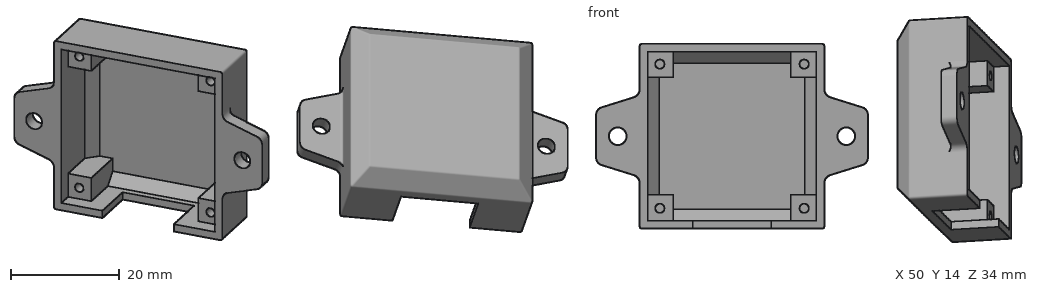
import cadquery as cq
import math


body_size = 34.0
body_depth = 14.0
wall = 1.5
back_chamfer = 3.0
edge_radius = 0.5

cavity_size = body_size - 2 * wall
cavity_depth = body_depth - wall
cavity_chamfer = back_chamfer - wall * (2 - math.sqrt(2))

post_size = 4.7
post_recess = 3.0
post_hole_spacing = 26.5
post_hole_diameter = 1.7
post_hole_depth = 6.0

notch_width = 14.4
notch_depth = 9.0

ear_span = 50.0
ear_thickness = 3.0
ear_tip_half_height = 5.0
ear_root_half_height = 7.5
ear_corner_radius = 1.5
ear_hole_spacing = 42.0
ear_hole_diameter = 3.2


def block(width, depth, height):
    """Box centred in X and Z that runs from Y = 0 towards +Y."""
    return cq.Workplane("XY").box(width, depth, height, centered=(True, False, True))


def cylinders(points, diameter, depth):
    """Round bars that run from Y = 0 towards +Y at the given X, Z points."""
    return cq.Workplane("XZ").pushPoints(points).circle(diameter / 2).extrude(-depth)


def make_shell():
    """Square housing with a bevelled back and lightly rounded outer edges."""
    shell = block(body_size, body_depth, body_size)
    shell = shell.faces(">Y").edges().chamfer(back_chamfer)
    outer_edges = cq.selectors.StringSyntaxSelector("not(<Y)")
    return shell.edges(outer_edges).fillet(edge_radius)


def make_posts():
    """Four square posts in the cavity corners, set back from the open face."""
    post_spacing = cavity_size - post_size
    return (
        cq.Workplane("XZ", origin=(0, post_recess, 0))
        .rarray(post_spacing, post_spacing, 2, 2)
        .rect(post_size, post_size)
        .extrude(-(cavity_depth - post_recess))
    )


def make_cavity():
    """Bevelled inner space, without the volume taken by the corner posts."""
    cavity = block(cavity_size, cavity_depth, cavity_size)
    cavity = cavity.faces(">Y").edges().chamfer(cavity_chamfer)
    return cavity.cut(make_posts())


def make_post_holes():
    """Blind screw holes in the front ends of the posts."""
    offset = post_hole_spacing / 2
    points = [(x, z) for x in (-offset, offset) for z in (-offset, offset)]
    return cylinders(points, post_hole_diameter, post_recess + post_hole_depth)


def make_notch():
    """Rectangular opening through the bottom wall, open to the front."""
    bottom_wall_middle = -(body_size - wall) / 2
    return block(notch_width, notch_depth, wall).translate((0, 0, bottom_wall_middle))


def make_ears():
    """Tapered ears on both sides, blended into the housing walls."""
    body_half = body_size / 2
    tip = ear_span / 2
    blend_edge = body_half + edge_radius
    blend_top = ear_thickness + edge_radius
    section_half_height = ear_root_half_height + ear_corner_radius

    ear_points = [
        (tip, ear_tip_half_height),
        (body_half, ear_root_half_height),
        (-body_half, ear_root_half_height),
        (-tip, ear_tip_half_height),
        (-tip, -ear_tip_half_height),
        (-body_half, -ear_root_half_height),
        (body_half, -ear_root_half_height),
        (tip, -ear_tip_half_height),
    ]
    tapered_plate = cq.Workplane("XZ").polyline(ear_points).close().extrude(-blend_top)
    plate = block(body_size, blend_top, body_size).union(tapered_plate)
    ear_corners = cq.selectors.BoxSelector(
        (-ear_span, -body_depth, -section_half_height),
        (ear_span, body_depth, section_half_height),
    )
    plate = plate.edges("|Y").edges(ear_corners).fillet(ear_corner_radius)

    arc_inset = edge_radius * (1 - math.sqrt(0.5))
    section = (
        cq.Workplane("XY")
        .moveTo(-tip, 0)
        .lineTo(tip, 0)
        .lineTo(tip, ear_thickness)
        .lineTo(blend_edge, ear_thickness)
        .threePointArc((body_half + arc_inset, ear_thickness + arc_inset), (body_half, blend_top))
        .lineTo(-body_half, blend_top)
        .threePointArc((-body_half - arc_inset, ear_thickness + arc_inset), (-blend_edge, ear_thickness))
        .lineTo(-tip, ear_thickness)
        .close()
        .extrude(section_half_height, both=True)
    )
    hole_offset = ear_hole_spacing / 2
    holes = cylinders([(-hole_offset, 0), (hole_offset, 0)], ear_hole_diameter, ear_thickness)
    return plate.intersect(section).cut(holes)


result = (
    make_shell()
    .union(make_ears())
    .cut(make_cavity())
    .cut(make_post_holes())
    .cut(make_notch())
)